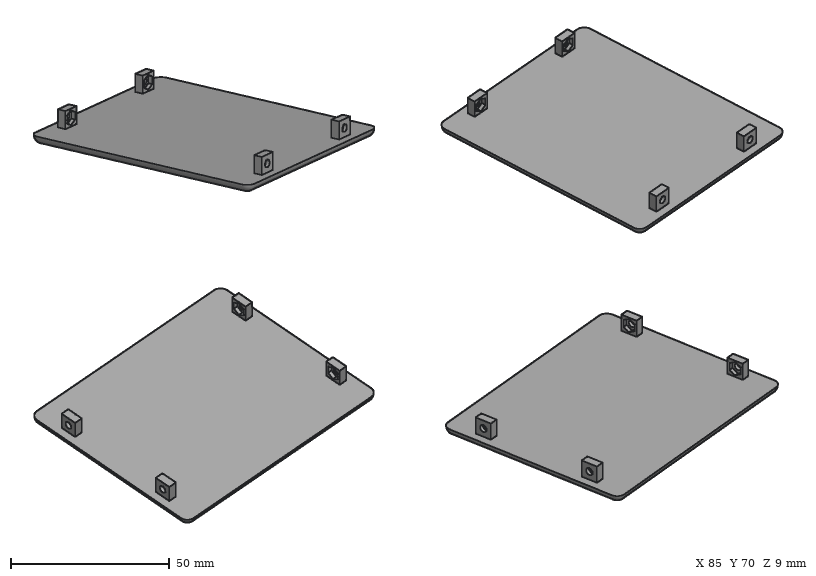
import cadquery as cq

length = 85.0
width = 70.0
plate_thickness = 3.0
edge_radius = plate_thickness

total_height = 9.0
lug_thickness = 3.0
lug_width = 6.0
lug_height = total_height - plate_thickness
lug_inset = 3.0
lug_spacing = 42.0

hole_diameter = 2.5
recess_diameter = 5.0
recess_depth = 1.5
hole_height = plate_thickness + lug_height / 2


def make_plate():
    """Lower slice of a fully rounded block, so the edge is a quarter round and the corners are spherical."""
    block_height = 3 * edge_radius
    block = cq.Workplane("XY").box(length, width, block_height, centered=(True, True, False))
    block = block.edges().fillet(edge_radius)
    slice_box = cq.Workplane("XY").box(length, width, plate_thickness, centered=(True, True, False))
    return block.intersect(slice_box)


def make_lug():
    """Lug at the -X end, centred on Y = 0, with its recess facing +X."""
    outer_face = -length / 2 + lug_inset
    inner_face = outer_face + lug_thickness
    lug = (
        cq.Workplane("XY")
        .box(lug_thickness, lug_width, lug_height, centered=(False, True, False))
        .translate((outer_face, 0, plate_thickness))
    )
    hole = (
        cq.Workplane("YZ", origin=(outer_face, 0, hole_height))
        .circle(hole_diameter / 2)
        .extrude(lug_thickness)
    )
    recess = (
        cq.Workplane("YZ", origin=(inner_face, 0, hole_height))
        .transformed(rotate=(0, 0, 30))
        .polygon(6, recess_diameter)
        .extrude(-recess_depth)
    )
    return lug.cut(hole).cut(recess)


result = make_plate()
left_lug = make_lug()
for lug in (left_lug, left_lug.mirror("YZ")):
    for side in (-1, 1):
        result = result.union(lug.translate((0, side * lug_spacing / 2, 0)))